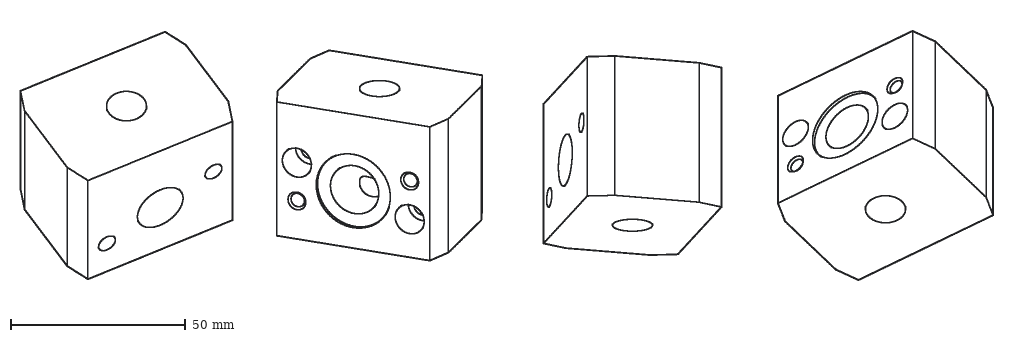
import cadquery as cq

width = 40.0
length = 53.0
height = 42.0
corner_x = 7.4
corner_y = 2.75

vertical_diameter = 11.5

bore_z = -3.0
bore_diameter = 15.0
recess_diameter = 23.0
recess_depth = 1.0

fastener_y = 17.5
fastener_z = 6.0
bolt_diameter = 5.5
bolt_head_diameter = 9.0
bolt_head_depth = 10.0
tapped_diameter = 4.2
tapped_depth = 12.0
tapped_mouth_diameter = 5.5


def hole_from_left_face(y, z, diameter, depth):
    """Cylinder running in +X from the -X face."""
    return (
        cq.Workplane("YZ", origin=(-width / 2, y, z))
        .circle(diameter / 2)
        .extrude(depth)
    )


def bolt_hole(y, z):
    """Through hole with a counterbore on the -X face."""
    shank = hole_from_left_face(y, z, bolt_diameter, width)
    return shank.union(hole_from_left_face(y, z, bolt_head_diameter, bolt_head_depth))


def tapped_hole(y, z):
    """Blind hole with a 45 degree countersunk mouth on the -X face."""
    mouth_depth = (tapped_mouth_diameter - tapped_diameter) / 2
    mouth = (
        cq.Workplane("YZ", origin=(-width / 2, y, z))
        .circle(tapped_mouth_diameter / 2)
        .workplane(offset=mouth_depth)
        .circle(tapped_diameter / 2)
        .loft()
    )
    return mouth.union(hole_from_left_face(y, z, tapped_diameter, tapped_depth))


half_x = width / 2
half_y = length / 2
block = (
    cq.Workplane("XY", origin=(0, 0, -height / 2))
    .polyline([
        (-half_x, -half_y + corner_y),
        (-half_x + corner_x, -half_y),
        (half_x - corner_x, -half_y),
        (half_x, -half_y + corner_y),
        (half_x, half_y - corner_y),
        (half_x - corner_x, half_y),
        (-half_x + corner_x, half_y),
        (-half_x, half_y - corner_y),
    ])
    .close()
    .extrude(height)
)

result = block.faces(">Z").workplane().hole(vertical_diameter)
result = result.cut(hole_from_left_face(0, bore_z, bore_diameter, width))
result = result.cut(hole_from_left_face(0, bore_z, recess_diameter, recess_depth))

for side in (-1, 1):
    y = side * fastener_y
    result = result.cut(bolt_hole(y, bore_z + side * fastener_z))
    result = result.cut(tapped_hole(y, bore_z - side * fastener_z))